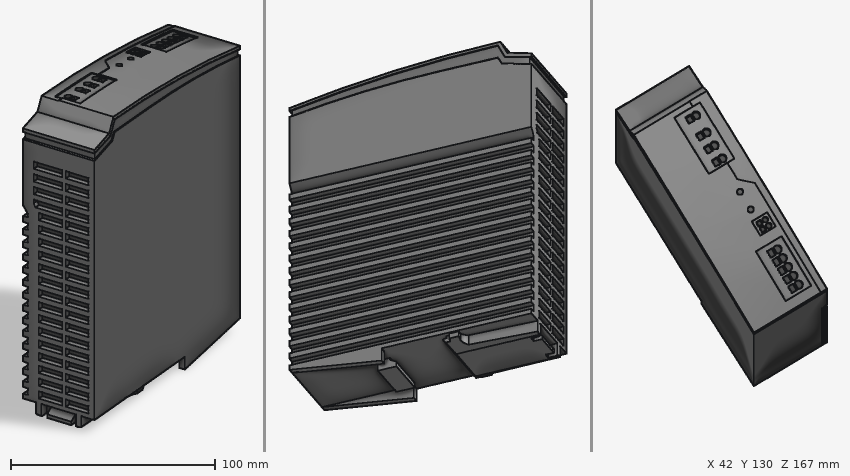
import math

import cadquery as cq

WIDTH = 42.0
LENGTH = 130.0
HEIGHT = 167.0
MID_X = WIDTH / 2
FRONT = -LENGTH / 2
BACK = LENGTH / 2
BODY_BOTTOM = 7.0

ROOF_RADIUS = 660.0
ROOF_FRONT_Y = -48.1
NOSE_TOP_Y = -52.0
NOSE_TOP_Z = 159.5
NOSE_TIP_Z = 156.0
COVER_THICKNESS = 2.0
COVER_EDGE_SHIFT = 1.3

NECK_SIDE_INSET = 0.6
NECK_END_INSET = 1.2
BODY_TOP_RADIUS = 525.0
BODY_TOP_Z = 158.0
BODY_TOP_APEX_Y = -15.0
BODY_TOP_FRONT_Y = -46.9
BODY_NOSE_TOP_Y = -49.0
BODY_NOSE_TOP_Z = 154.1
BODY_NOSE_TIP_Z = 149.9

STRIP_DEPTH = 0.3
STRIP_NARROW = 3.6
STRIP_WIDE = 10.0
STRIP_JOG_BACK_Y = 2.9
STRIP_JOG_FRONT_Y = -3.1

FIN_COUNT = 15
FIN_PITCH = 7.0
FIN_HEIGHT = 3.0
FIN_DEPTH = 3.0
FIN_TAPER = 0.3
FIRST_FIN_TOP = 107.5
FIN_BAY_TOP = 113.8
FIN_BAY_SLOPE_END = 109.5

SLOT_HEIGHT = 4.0
SLOT_DEPTH = 3.2
SLOT_PITCH = 7.02
UPPER_SLOT_ROWS = 4
UPPER_SLOT_TOP = 139.5
LOWER_SLOT_ROWS = 15
LOWER_SLOT_TOP = 111.9
SLOT_LEFT_UPPER = 6.4
SLOT_LEFT_LOWER = 9.4
SLOT_LEFT_END = 23.0
SLOT_RIGHT_START = 25.2
SLOT_RIGHT_END = 38.4
SLOT_CORNER_WIDTH = 1.0
SLOT_CORNER_HEIGHT = 2.0

RECESS_DEPTH = 1.0
TERMINAL_LEFT = 5.9
TERMINAL_RIGHT = 20.6
TERMINAL_WIRE_X = 10.85
TERMINAL_WIRE_DIAMETER = 4.1
TERMINAL_WIRE_FLAT_X = 12.2
TERMINAL_KEY_LEFT = 12.9
TERMINAL_KEY_RIGHT = 15.8
TERMINAL_KEY_LENGTH = 3.7
CONTACT_DEPTH = 5.0
BACK_TERMINAL = (31.7, 60.0)
BACK_CONTACT_COUNT = 5
BACK_CONTACT_FIRST_Y = 36.3
BACK_CONTACT_PITCH = 5.0
FRONT_TERMINAL = (-45.1, -12.6)
FRONT_CONTACTS_Y = (-15.8, -23.3, -30.8, -40.7)
PLUG_LEFT = 5.9
PLUG_RIGHT = 14.7
PLUG_Y = (18.2, 26.3)
PLUG_CONTACTS_Y = (20.8, 24.2)
PLUG_WIRE_X = 8.5
PLUG_WIRE_DIAMETER = 2.8
PLUG_KEY_LEFT = 10.6
PLUG_KEY_RIGHT = 13.0
PLUG_KEY_LENGTH = 2.4
LAMP_X = 12.05
LAMP_DIAMETER = 3.0
LAMP_DEPTH = 2.0
LAMPS_Y = (12.9, 2.8)

FOOT_PLATE = 3.3
FOOT_FRONT_Y = 15.5
HOOK_TIP_Y = 12.0
HOOK_BACK_Y = 22.0
HOOK_BOTTOM = 1.3
HOOK_TIP_TOP = 3.9
HOOK_ROOT_TOP = 6.2
HOOK_LEFT = 10.0

CLIP_FRONT_X = 7.7
CLIP_WAIST_X = 6.3
CLIP_FLARE_MID_X = 5.3
CLIP_FLARE_X = 3.3
CLIP_WING_X = 1.0
CLIP_TIP_X = 2.6
CLIP_WAIST_Y = -28.5
CLIP_WING_FRONT_Y = -25.5
CLIP_WING_BACK_Y = -20.3
CLIP_ROOT_Y = -18.2
CLIP_TIP_Y = -16.2
CLIP_TIP_Z = 5.4
CLIP_ROOT_Z = 6.0
CLIP_BEVEL_X = 9.5
CLIP_BEVEL_SLOPE = 0.5
CLIP_FRONT_CHAMFER = 0.6
NOTCH_LEFT = 10.9
NOTCH_DEPTH = 5.0
TAB_LEFT = 13.9
TAB_FRONT_Y = -64.5
TAB_LIP_Z = 2.0
TAB_TOP_Z = 4.8


def arc_z(y, apex_y, apex_z, radius):
    """Height at y of an arc that has its highest point at (apex_y, apex_z)."""
    return apex_z - radius + math.sqrt(radius ** 2 - (y - apex_y) ** 2)


def roof_z(y):
    return arc_z(y, ROOF_FRONT_Y, HEIGHT, ROOF_RADIUS)


def body_top_z(y):
    return arc_z(y, BODY_TOP_APEX_Y, BODY_TOP_Z, BODY_TOP_RADIUS)


def block(x_range, y_range, z_range):
    """Box spanning the three given ranges."""
    sizes = [high - low for low, high in (x_range, y_range, z_range)]
    corner = (x_range[0], y_range[0], z_range[0])
    return cq.Workplane("XY").box(*sizes, centered=False).translate(corner)


def side_extrusion(outline, x_start, x_end):
    """Extrude a (y, z) outline along X."""
    plane = cq.Workplane("YZ").workplane(offset=x_start)
    return plane.polyline(outline).close().extrude(x_end - x_start)


def mirrored(solid):
    """The solid together with its mirror image about the middle of the width."""
    return solid.union(solid.mirror("YZ", (MID_X, 0, 0)))


def roof_arch(z_drop, y_shift):
    """Open outline of the roof arch from the back to its front edge, lowered and moved in Y."""
    mid_y = (BACK + ROOF_FRONT_Y) / 2
    path = cq.Workplane("YZ").moveTo(BACK, roof_z(BACK) - z_drop)
    return path.threePointArc(
        (mid_y, roof_z(mid_y) - z_drop), (ROOF_FRONT_Y + y_shift, HEIGHT - z_drop)
    )


def roof_path(z_drop, y_shift):
    """Open outline of the whole roof from the back to the nose tip."""
    path = roof_arch(z_drop, y_shift).lineTo(NOSE_TOP_Y + y_shift, NOSE_TOP_Z - z_drop)
    return path.lineTo(FRONT, NOSE_TIP_Z - z_drop)


def make_envelope():
    """Housing block under the full roof outline."""
    path = roof_path(0, 0).lineTo(FRONT, BODY_BOTTOM).lineTo(BACK, BODY_BOTTOM)
    return path.close().extrude(WIDTH)


def make_shadow_gap():
    """Groove around all four sides between the cover and the body."""
    path = roof_path(COVER_THICKNESS, COVER_EDGE_SHIFT)
    path = path.lineTo(FRONT, BODY_NOSE_TIP_Z)
    path = path.lineTo(BODY_NOSE_TOP_Y, BODY_NOSE_TOP_Z)
    path = path.lineTo(BODY_TOP_FRONT_Y, BODY_TOP_Z)
    path = path.lineTo(BODY_TOP_APEX_Y, BODY_TOP_Z)
    arc_mid_y = (BODY_TOP_APEX_Y + BACK) / 2
    path = path.threePointArc((arc_mid_y, body_top_z(arc_mid_y)), (BACK, body_top_z(BACK)))
    gap = path.close().extrude(WIDTH)
    neck = block(
        (NECK_SIDE_INSET, WIDTH - NECK_SIDE_INSET),
        (FRONT + NECK_END_INSET, BACK - NECK_END_INSET),
        (BODY_BOTTOM, HEIGHT),
    )
    return gap.cut(neck)


def make_roof_strip():
    """Thin layer removed from the roof along the left edge, wider towards the front."""
    outline = [
        (0, BACK),
        (STRIP_NARROW, BACK),
        (STRIP_NARROW, STRIP_JOG_BACK_Y),
        (STRIP_WIDE, STRIP_JOG_FRONT_Y),
        (STRIP_WIDE, NOSE_TOP_Y),
        (0, NOSE_TOP_Y),
    ]
    plan = cq.Workplane("XY").polyline(outline).close().extrude(HEIGHT)
    above_arch = roof_arch(STRIP_DEPTH, 0).lineTo(FRONT, HEIGHT - STRIP_DEPTH)
    above_arch = above_arch.lineTo(FRONT, HEIGHT).lineTo(BACK, HEIGHT).close().extrude(WIDTH)
    return plan.intersect(above_arch)


def make_fin_bay():
    """Space between the fins: a recess with a sloping top, less the tapered fins.

    The last fin is the top edge of the solid base below the bay.
    """
    last_fin_top = FIRST_FIN_TOP - (FIN_COUNT - 1) * FIN_PITCH
    outline = [
        (0, FIN_BAY_TOP),
        (FIN_DEPTH, FIN_BAY_SLOPE_END),
        (FIN_DEPTH, last_fin_top + FIN_TAPER),
        (0, last_fin_top),
    ]
    bay = cq.Workplane("XZ", origin=(0, BACK, 0)).polyline(outline).close().extrude(LENGTH)
    for index in range(FIN_COUNT - 1):
        top = FIRST_FIN_TOP - index * FIN_PITCH
        bottom = top - FIN_HEIGHT
        fin_outline = [
            (0, top),
            (FIN_DEPTH, top + FIN_TAPER),
            (FIN_DEPTH, bottom - FIN_TAPER),
            (0, bottom),
        ]
        fin = cq.Workplane("XZ", origin=(0, BACK, 0)).polyline(fin_outline).close().extrude(LENGTH)
        bay = bay.cut(fin)
    return bay


def make_slot(left, right, top):
    return block((left, right), (FRONT, FRONT + SLOT_DEPTH), (top - SLOT_HEIGHT, top))


def cut_slots(body):
    """Two columns of blind slots; the left column is wider above the fin bay."""
    groups = [
        (UPPER_SLOT_ROWS, UPPER_SLOT_TOP, SLOT_LEFT_UPPER),
        (LOWER_SLOT_ROWS, LOWER_SLOT_TOP, SLOT_LEFT_LOWER),
    ]
    for rows, first_top, left in groups:
        for row in range(rows):
            top = first_top - row * SLOT_PITCH
            body = body.cut(make_slot(left, SLOT_LEFT_END, top))
            body = body.cut(make_slot(SLOT_RIGHT_START, SLOT_RIGHT_END, top))
    return body.union(make_slot_corner())


def make_slot_corner():
    """Material in the lower left corner of the last wide slot."""
    bottom = UPPER_SLOT_TOP - (UPPER_SLOT_ROWS - 1) * SLOT_PITCH - SLOT_HEIGHT
    outline = [
        (SLOT_LEFT_UPPER, bottom),
        (SLOT_LEFT_UPPER + SLOT_CORNER_WIDTH, bottom),
        (SLOT_LEFT_UPPER, bottom + SLOT_CORNER_HEIGHT),
    ]
    return cq.Workplane("XZ", origin=(0, FRONT, 0)).polyline(outline).close().extrude(-SLOT_DEPTH)


def roof_plane(y):
    """Work plane touching the roof at y, with its normal along the roof normal."""
    tilt = math.asin((y - ROOF_FRONT_Y) / ROOF_RADIUS)
    normal = (0, math.sin(tilt), math.cos(tilt))
    return cq.Workplane(cq.Plane(origin=(0, y, roof_z(y)), xDir=(1, 0, 0), normal=normal))


def roof_recess(x_range, y_range):
    """Shallow rectangular recess square to the roof."""
    middle_y = sum(y_range) / 2
    width = x_range[1] - x_range[0]
    length = y_range[1] - y_range[0]
    sketch = roof_plane(middle_y).center(sum(x_range) / 2, 0).rect(width, length)
    return sketch.extrude(RECESS_DEPTH, both=True)


def roof_key_hole(x_range, length, y):
    """Rectangular hole square to the roof."""
    sketch = roof_plane(y).center(sum(x_range) / 2, 0).rect(x_range[1] - x_range[0], length)
    return sketch.extrude(-CONTACT_DEPTH)


def roof_round_hole(x, diameter, y, depth):
    return roof_plane(y).center(x, 0).circle(diameter / 2).extrude(-depth)


def terminal_contact(y):
    """Wire hole with a flat on its right side, and the key hole beside it."""
    hole = roof_round_hole(TERMINAL_WIRE_X, TERMINAL_WIRE_DIAMETER, y, CONTACT_DEPTH)
    keep_range = (TERMINAL_LEFT, TERMINAL_WIRE_FLAT_X)
    hole = hole.intersect(block(keep_range, (FRONT, BACK), (0, HEIGHT)))
    return hole, roof_key_hole((TERMINAL_KEY_LEFT, TERMINAL_KEY_RIGHT), TERMINAL_KEY_LENGTH, y)


def plug_contact(y):
    hole = roof_round_hole(PLUG_WIRE_X, PLUG_WIRE_DIAMETER, y, CONTACT_DEPTH)
    return hole, roof_key_hole((PLUG_KEY_LEFT, PLUG_KEY_RIGHT), PLUG_KEY_LENGTH, y)


def cut_roof_details(body):
    """Two terminal blocks, the small plug and the two lamp holes."""
    terminal_x = (TERMINAL_LEFT, TERMINAL_RIGHT)
    body = body.cut(roof_recess(terminal_x, BACK_TERMINAL))
    body = body.cut(roof_recess(terminal_x, FRONT_TERMINAL))
    body = body.cut(roof_recess((PLUG_LEFT, PLUG_RIGHT), PLUG_Y))
    back_contacts = [BACK_CONTACT_FIRST_Y + i * BACK_CONTACT_PITCH for i in range(BACK_CONTACT_COUNT)]
    contacts = [terminal_contact(y) for y in (*back_contacts, *FRONT_CONTACTS_Y)]
    contacts += [plug_contact(y) for y in PLUG_CONTACTS_Y]
    for wire_hole, key_hole in contacts:
        body = body.cut(wire_hole).cut(key_hole)
    for y in LAMPS_Y:
        body = body.cut(roof_round_hole(LAMP_X, LAMP_DIAMETER, y, LAMP_DEPTH))
    return body


def make_back_foot():
    """Wedge plates on both sides with a rail hook on a beam between them."""
    wedge = [(BACK, BODY_BOTTOM), (FOOT_FRONT_Y, 0), (FOOT_FRONT_Y, BODY_BOTTOM)]
    hook = [
        (HOOK_BACK_Y, BODY_BOTTOM),
        (HOOK_BACK_Y, HOOK_BOTTOM),
        (HOOK_TIP_Y, HOOK_BOTTOM),
        (HOOK_TIP_Y, HOOK_TIP_TOP),
        (FOOT_FRONT_Y, HOOK_ROOT_TOP),
        (FOOT_FRONT_Y, BODY_BOTTOM),
    ]
    plates = mirrored(side_extrusion(wedge, 0, FOOT_PLATE))
    return plates.union(side_extrusion(hook, HOOK_LEFT, WIDTH - HOOK_LEFT))


def make_clip_half_plan():
    """Left half of the clip seen from above, from the front edge to the hook tip."""
    flare_mid_y = (CLIP_WAIST_Y + CLIP_WING_FRONT_Y) / 2
    plan = cq.Workplane("XY").moveTo(MID_X, FRONT).lineTo(CLIP_FRONT_X, FRONT)
    plan = plan.lineTo(CLIP_WAIST_X, CLIP_WAIST_Y)
    plan = plan.threePointArc(
        (CLIP_FLARE_MID_X, flare_mid_y), (CLIP_FLARE_X, CLIP_WING_FRONT_Y)
    )
    plan = plan.lineTo(CLIP_WING_X, CLIP_WING_FRONT_Y).lineTo(CLIP_WING_X, CLIP_WING_BACK_Y)
    plan = plan.lineTo(CLIP_TIP_X, CLIP_WING_BACK_Y).lineTo(CLIP_TIP_X, CLIP_TIP_Y)
    return plan.lineTo(MID_X, CLIP_TIP_Y).close().extrude(BODY_BOTTOM)


def make_clip():
    """Clip with bevelled lower sides, a hooked back edge and a pull tab in its front notch."""
    clip = mirrored(make_clip_half_plan())
    bevel_z = CLIP_BEVEL_X * CLIP_BEVEL_SLOPE
    section = [
        (0, BODY_BOTTOM),
        (0, bevel_z),
        (CLIP_BEVEL_X, 0),
        (WIDTH - CLIP_BEVEL_X, 0),
        (WIDTH, bevel_z),
        (WIDTH, BODY_BOTTOM),
    ]
    bevelled = cq.Workplane("XZ", origin=(0, BACK, 0)).polyline(section).close().extrude(LENGTH)
    profile = [
        (FRONT, CLIP_FRONT_CHAMFER),
        (FRONT + CLIP_FRONT_CHAMFER, 0),
        (CLIP_WING_BACK_Y, 0),
        (CLIP_TIP_Y, CLIP_TIP_Z),
        (CLIP_ROOT_Y, CLIP_ROOT_Z),
        (CLIP_ROOT_Y, BODY_BOTTOM),
        (FRONT, BODY_BOTTOM),
    ]
    clip = clip.intersect(bevelled).intersect(side_extrusion(profile, 0, WIDTH))
    notch_back = FRONT + NOTCH_DEPTH
    notch = block((NOTCH_LEFT, WIDTH - NOTCH_LEFT), (FRONT, notch_back), (0, BODY_BOTTOM))
    tab = [
        (notch_back, 0),
        (TAB_FRONT_Y, 0),
        (TAB_FRONT_Y, TAB_LIP_Z),
        (notch_back, TAB_TOP_Z),
    ]
    return clip.cut(notch).union(side_extrusion(tab, TAB_LEFT, WIDTH - TAB_LEFT))


housing = make_envelope().cut(make_shadow_gap()).cut(make_roof_strip()).cut(make_fin_bay())
housing = cut_slots(housing)
housing = cut_roof_details(housing)
result = housing.union(make_back_foot()).union(make_clip())